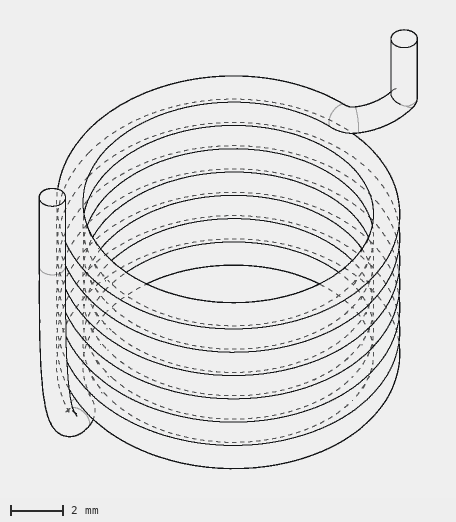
import cadquery as cq
import math

overall_length = 17.0
overall_height = 13.33
coil_outer_diameter = 13.0
wire_diameter = 1.0
wire_radius = wire_diameter / 2
coil_radius = (coil_outer_diameter - wire_diameter) / 2
coil_height = 8.92
whole_turns = 7
end_angle = 12.5
turns = whole_turns + (180 - 2 * end_angle) / 360
pitch = coil_height / turns

leg_y = overall_length / 2 - wire_radius
leg_top = overall_height - wire_radius
upper_leg_length = 3.03
lower_leg_length = 3.54

elbow_radius = 0.8
coil_end_x = -coil_radius * math.sin(math.radians(end_angle))
coil_end_y = coil_radius * math.cos(math.radians(end_angle))
elbow_center_x = coil_end_x * (1 + elbow_radius / coil_radius)
elbow_center_y = coil_end_y * (1 + elbow_radius / coil_radius)
leg_distance = math.hypot(elbow_center_x, leg_y - elbow_center_y)
leg_bearing = math.atan2(leg_y - elbow_center_y, -elbow_center_x)
outward_heading = leg_bearing + math.asin(elbow_radius / leg_distance)
elbow_end_x = elbow_center_x + elbow_radius * math.sin(outward_heading)
elbow_end_y = elbow_center_y - elbow_radius * math.cos(outward_heading)

lower_bend_out_handle = 1.78
lower_bend_up_handle = 5.1

UP = cq.Vector(0, 0, 1)


def sweep_wire(*edges):
    """Round wire along a smooth chain of edges."""
    profile_plane = cq.Plane(edges[0].startPoint(), normal=edges[0].tangentAt(0))
    path = cq.Workplane(obj=cq.Wire.assembleEdges(edges))
    return cq.Workplane(profile_plane).circle(wire_radius).sweep(path)


def make_coil():
    """Left-handed coil rising clockwise from the -Y end to the +Y end."""
    helix = cq.Wire.makeHelix(pitch, coil_height, coil_radius, lefthand=True)
    tangent = cq.Vector(0, -2 * math.pi * coil_radius, pitch)
    profile_plane = cq.Plane((coil_radius, 0, 0), normal=tangent)
    coil = cq.Workplane(profile_plane).circle(wire_radius).sweep(cq.Workplane(obj=helix), isFrenet=True)
    return coil.rotate((0, 0, 0), (0, 0, 1), -90 - end_angle)


def make_elbow(side, z):
    """Elbow edge leaving the coil end on the given Y side (+1 top, -1 bottom) and its end direction."""
    start = cq.Vector(coil_end_x, side * coil_end_y, z)
    end = cq.Vector(elbow_end_x, side * elbow_end_y, z)
    coil_slope = side * pitch / (2 * math.pi * coil_radius)
    coil_tangent = cq.Vector(coil_end_y, -side * coil_end_x, coil_slope * coil_radius).normalized()
    outward = cq.Vector(math.cos(outward_heading), side * math.sin(outward_heading), 0)
    return cq.Edge.makeSpline([start, end], tangents=[coil_tangent, outward]), outward


def make_lower_leg():
    """Elbow, long sweeping bend and straight leg."""
    elbow, outward = make_elbow(-1, 0)
    leg_bottom = cq.Vector(0, -leg_y, leg_top - lower_leg_length)
    bend = cq.Edge.makeBezier([
        elbow.endPoint(),
        elbow.endPoint() + outward * lower_bend_out_handle,
        leg_bottom - UP * lower_bend_up_handle,
        leg_bottom,
    ])
    leg = cq.Edge.makeLine(leg_bottom, leg_bottom + UP * lower_leg_length)
    return sweep_wire(elbow, bend, leg)


def make_upper_leg():
    """Elbow and upward arc that meets the straight leg at an angle, rounded by a ball joint."""
    elbow, outward = make_elbow(1, coil_height)
    leg_bottom = cq.Vector(0, leg_y, leg_top - upper_leg_length)
    bend = cq.Edge.makeTangentArc(elbow.endPoint(), outward, leg_bottom)
    leg = cq.Edge.makeLine(leg_bottom, leg_bottom + UP * upper_leg_length)
    joint = cq.Workplane().sphere(wire_radius).translate(leg_bottom)
    return sweep_wire(elbow, bend).union(joint).union(sweep_wire(leg))


result = make_coil().union(make_lower_leg()).union(make_upper_leg())